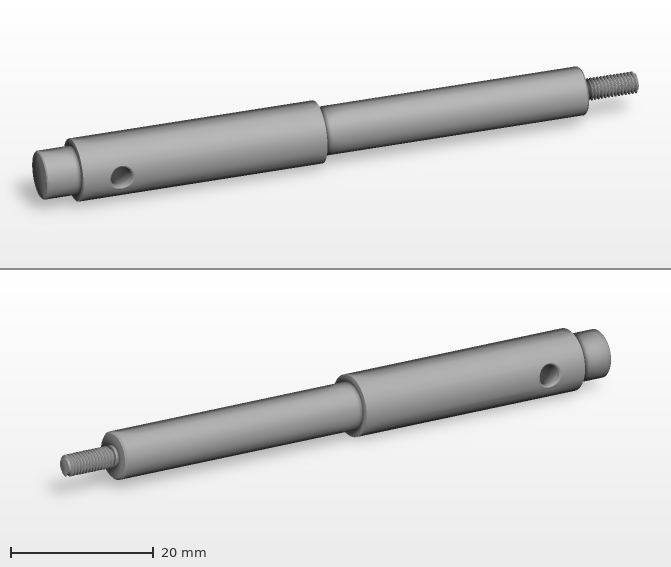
import cadquery as cq

REAR_END = 44.0
FRONT_END = -44.0
PLUG_LENGTH = 5.0
SLEEVE_LENGTH = 36.0
ROD_LENGTH = 39.0

SLEEVE_DIAMETER = 9.0
SHAFT_DIAMETER = 6.95
ROD_CHAMFER = 0.3
PLUG_CHAMFER = 0.2

CROSS_HOLE_DIAMETER = 3.2
CROSS_HOLE_CHAMFER = 0.22
CROSS_HOLE_SETBACK = 5.7

COLLAR_LENGTH = 0.4
THREAD_MAJOR_DIAMETER = 3.2
COLLAR_DIAMETER = THREAD_MAJOR_DIAMETER
THREAD_MINOR_DIAMETER = 2.4
THREAD_PITCH = 0.5
CREST_FLAT = THREAD_PITCH / 8
ROOT_FLAT = THREAD_PITCH / 4
RIDGE_SINK = 0.04

SLEEVE_FRONT = FRONT_END + PLUG_LENGTH
SLEEVE_REAR = SLEEVE_FRONT + SLEEVE_LENGTH
ROD_REAR = SLEEVE_REAR + ROD_LENGTH


def cylinder(diameter, start, end):
    """Cylinder along Y from start to end."""
    return cq.Workplane("XZ", origin=(0, start, 0)).circle(diameter / 2).extrude(start - end)


def make_sleeve():
    """Thick grip with a cross hole along X, chamfered at both mouths."""
    hole_y = SLEEVE_FRONT + CROSS_HOLE_SETBACK
    hole = (
        cq.Workplane("YZ", origin=(0, hole_y, 0))
        .circle(CROSS_HOLE_DIAMETER / 2)
        .extrude(SLEEVE_DIAMETER, both=True)
    )
    drilled = cylinder(SLEEVE_DIAMETER, SLEEVE_FRONT, SLEEVE_REAR).cut(hole)
    around_hole = cq.selectors.BoxSelector(
        (-SLEEVE_DIAMETER, hole_y - CROSS_HOLE_DIAMETER, -SLEEVE_DIAMETER),
        (SLEEVE_DIAMETER, hole_y + CROSS_HOLE_DIAMETER, SLEEVE_DIAMETER),
    )
    return drilled.edges(around_hole).chamfer(CROSS_HOLE_CHAMFER)


def make_rod():
    """Plain rod behind the sleeve with a chamfered rear edge."""
    return cylinder(SHAFT_DIAMETER, SLEEVE_REAR, ROD_REAR).faces(">Y").chamfer(ROD_CHAMFER)


def make_plug():
    """Short plug in front of the sleeve with a chamfered front edge."""
    return cylinder(SHAFT_DIAMETER, FRONT_END, SLEEVE_FRONT).faces("<Y").chamfer(PLUG_CHAMFER)


def make_thread_ridge(length):
    """Helical trapezoid ridge filling a length along Z from Z = 0, its root sunk into the core."""
    major = THREAD_MAJOR_DIAMETER / 2
    minor = THREAD_MINOR_DIAMETER / 2
    crest_half = CREST_FLAT / 2
    flank_slope = (THREAD_PITCH - ROOT_FLAT - CREST_FLAT) / 2 / (major - minor)
    base = minor - RIDGE_SINK
    base_half = crest_half + flank_slope * (major - base)
    path = cq.Wire.makeHelix(THREAD_PITCH, length - 2 * base_half, minor)
    ridge = (
        cq.Workplane("XZ")
        .moveTo(base, -base_half)
        .lineTo(major, -crest_half)
        .lineTo(major, crest_half)
        .lineTo(base, base_half)
        .close()
        .sweep(cq.Workplane(obj=path), isFrenet=True)
    )
    return ridge.translate((0, 0, base_half))


def make_stud():
    """Collar against the rod, then a right-hand thread up to the tip."""
    thread_start = ROD_REAR + COLLAR_LENGTH
    ridge = (
        make_thread_ridge(REAR_END - thread_start)
        .rotate((0, 0, 0), (1, 0, 0), -90)
        .translate((0, thread_start, 0))
    )
    core = cylinder(THREAD_MINOR_DIAMETER, thread_start, REAR_END)
    collar = cylinder(COLLAR_DIAMETER, ROD_REAR, thread_start)
    return core.union(ridge).union(collar)


sleeve = make_sleeve()
rod = make_rod()
plug = make_plug()
stud = make_stud()

result = cq.Compound.makeCompound([sleeve.val(), rod.val(), plug.val(), stud.val()])